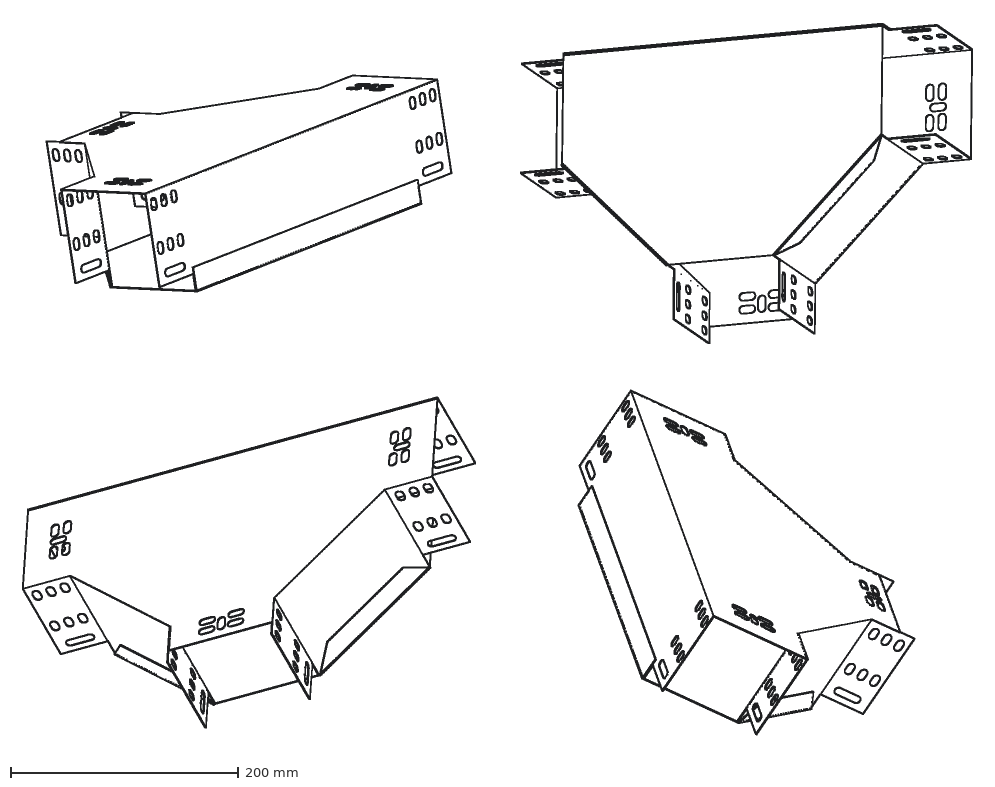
import cadquery as cq


SHEET = 1.0
RUN_LENGTH = 392.0
CHANNEL_WIDTH = 100.5
TRAY_DEPTH = 100.5
END_LENGTH = 45.5
END_DEPTH = 85.5
CORNER_LEG = 100.5
WEB_SETBACK = 15.0

FLAP_HEIGHT = 22.0
FLAP_TAPER = FLAP_HEIGHT

HOLE_WIDTH = 7.0
HOLE_HEIGHT = 11.0
HOLE_FROM_END = 22.0
HOLE_PITCH = 13.5
HOLE_ROW_DEPTHS = (12.2, 52.0)
LONG_SLOT_LENGTH = 26.5
LONG_SLOT_WIDTH = 7.0
LONG_SLOT_FROM_END = 23.0
LONG_SLOT_DEPTH = 75.7

WEB_SLOT_LENGTH = 15.0
WEB_SLOT_WIDTH = 7.0
WEB_SLOT_OFFSET = 13.8
WEB_SLOT_ROWS = (27.5, 39.5)
CROSS_SLOT_FROM_END = 31.5

TURN_Z = 61.7
TURN_Y = -16.5
TURN_X = -30.4

MID_X = RUN_LENGTH / 2
BRANCH_LEFT = MID_X - CHANNEL_WIDTH / 2
BRANCH_RIGHT = MID_X + CHANNEL_WIDTH / 2
BODY_LEFT = BRANCH_LEFT - CORNER_LEG
BODY_RIGHT = BRANCH_RIGHT + CORNER_LEG
BRANCH_ROOT_Y = CHANNEL_WIDTH + CORNER_LEG
BRANCH_END_Y = BRANCH_ROOT_Y + END_LENGTH

OPEN_ENDS = (
    (0, CHANNEL_WIDTH / 2, 0),
    (RUN_LENGTH, CHANNEL_WIDTH / 2, 180),
    (MID_X, BRANCH_END_Y, -90),
)


def at_end(shape, end):
    """Move a shape made for an open end at the origin to one of the open ends."""
    x, y, turn = end
    return shape.rotate((0, 0, 0), (0, 0, 1), turn).translate((x, y, 0))


def end_block(x_start, x_end, width, z_low, z_high):
    """Block across an open end at the origin; X is the distance into the tray."""
    block = cq.Workplane("XY").box(x_end - x_start, width, z_high - z_low, centered=(False, True, False))
    return block.translate((x_start, 0, z_low))


def tray_shell():
    """Web and side walls, closed at the three ends and full depth everywhere."""
    corners = [
        (0, 0),
        (RUN_LENGTH, 0),
        (RUN_LENGTH, CHANNEL_WIDTH),
        (BODY_RIGHT, CHANNEL_WIDTH),
        (BRANCH_RIGHT, BRANCH_ROOT_Y),
        (BRANCH_RIGHT, BRANCH_END_Y),
        (BRANCH_LEFT, BRANCH_END_Y),
        (BRANCH_LEFT, BRANCH_ROOT_Y),
        (BODY_LEFT, CHANNEL_WIDTH),
        (0, CHANNEL_WIDTH),
    ]
    shell = cq.Workplane("XY").polyline(corners).close().extrude(-TRAY_DEPTH)
    cavity = cq.Workplane("XY", origin=(0, 0, -SHEET)).polyline(corners).close().offset2D(-SHEET)
    return shell.cut(cavity.extrude(-TRAY_DEPTH))


def end_opening():
    """Removes the end wall and the lower part of the side walls beside it."""
    inner_width = CHANNEL_WIDTH - 2 * SHEET
    doorway = end_block(0, SHEET, inner_width, -TRAY_DEPTH, -SHEET)
    step = end_block(0, END_LENGTH, CHANNEL_WIDTH, -TRAY_DEPTH, -END_DEPTH)
    return doorway.union(step)


def wall_holes():
    """Holes through both side walls of an open end."""
    rows = [
        (HOLE_FROM_END + step * HOLE_PITCH, -depth)
        for depth in HOLE_ROW_DEPTHS
        for step in (-1, 0, 1)
    ]
    wall = cq.Workplane("XZ")
    holes = wall.pushPoints(rows).slot2D(HOLE_HEIGHT, HOLE_WIDTH, 90).extrude(CHANNEL_WIDTH, both=True)
    long_slot = wall.center(LONG_SLOT_FROM_END, -LONG_SLOT_DEPTH).slot2D(LONG_SLOT_LENGTH, LONG_SLOT_WIDTH)
    return holes.union(long_slot.extrude(CHANNEL_WIDTH, both=True))


def web_slots():
    """Four slots across the channel around one slot along it."""
    places = [
        (row, side * WEB_SLOT_OFFSET)
        for row in WEB_SLOT_ROWS
        for side in (-1, 1)
    ]
    web = cq.Workplane("XY")
    across = web.pushPoints(places).slot2D(WEB_SLOT_LENGTH, WEB_SLOT_WIDTH, 90).extrude(-2 * SHEET)
    along = web.center(CROSS_SLOT_FROM_END, 0).slot2D(WEB_SLOT_LENGTH, WEB_SLOT_WIDTH).extrude(-2 * SHEET)
    return across.union(along)


def make_tray():
    tray = tray_shell()
    for end in OPEN_ENDS:
        for cutter in (end_opening(), wall_holes(), web_slots()):
            tray = tray.cut(at_end(cutter, end))
    branch_end = OPEN_ENDS[-1]
    setback = end_block(0, WEB_SETBACK, CHANNEL_WIDTH - 2 * SHEET, -SHEET, 0)
    return tray.cut(at_end(setback, branch_end))


def lid_flap(start, end, taper):
    """Flap standing on the lid edge from start to end; it lies outside, to the right of that direction."""
    edge = cq.Vector(*end) - cq.Vector(*start)
    outward = edge.cross(cq.Vector(0, 0, 1))
    foot = cq.Vector(*start) + cq.Vector(0, 0, -TRAY_DEPTH - SHEET)
    flap = cq.Workplane(cq.Plane(origin=foot, xDir=edge, normal=outward)).polyline([
        (0, 0),
        (edge.Length, 0),
        (edge.Length - taper, FLAP_HEIGHT),
        (taper, FLAP_HEIGHT),
    ]).close()
    return flap.extrude(SHEET)


def make_lid():
    near_left = (BODY_LEFT, 0)
    near_right = (BODY_RIGHT, 0)
    side_right = (BODY_RIGHT, CHANNEL_WIDTH)
    branch_right = (BRANCH_RIGHT, BRANCH_ROOT_Y)
    branch_left = (BRANCH_LEFT, BRANCH_ROOT_Y)
    side_left = (BODY_LEFT, CHANNEL_WIDTH)
    corners = [near_left, near_right, side_right, branch_right, branch_left, side_left]
    lid = cq.Workplane("XY", origin=(0, 0, -TRAY_DEPTH)).polyline(corners).close().extrude(-SHEET)
    lid = lid.union(lid_flap(near_left, near_right, 0))
    lid = lid.union(lid_flap(side_right, branch_right, FLAP_TAPER))
    return lid.union(lid_flap(branch_left, side_left, FLAP_TAPER))


def tilt(body):
    """Turn a body from the part's own frame into its final orientation."""
    origin = (0, 0, 0)
    body = body.rotate(origin, (0, 0, 1), TURN_Z)
    body = body.rotate(origin, (0, 1, 0), TURN_Y)
    return body.rotate(origin, (1, 0, 0), TURN_X)


tray = tilt(make_tray())
lid = tilt(make_lid())

result = cq.Compound.makeCompound([tray.val(), lid.val()])